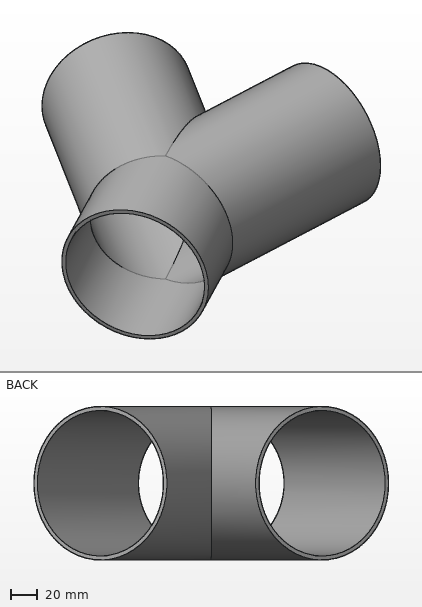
import cadquery as cq
import math

outer_diameter = 114.4
inner_diameter = 108.3
overall_width = 264.0
stem_length = 76.0
branch_angle = 30.0

branch_radians = math.radians(branch_angle)
outer_radius = outer_diameter / 2
branch_length = (overall_width / 2 - outer_radius * math.cos(branch_radians)) / math.sin(branch_radians)

reach = 2 * overall_width
miter_drop = reach * math.tan(branch_radians / 2)


def pipe_along_y(diameter, start, end):
    """Solid round bar on the Y axis from start to end."""
    bar = cq.Workplane("XZ").circle(diameter / 2).extrude(start - end)
    return bar.translate((0, start, 0))


def clipping_prism(points):
    """Prism with the given XY outline, centred on Z = 0."""
    return cq.Workplane("XY").polyline(points).close().extrude(reach / 2, both=True)


def make_stem(diameter):
    """Stem whose top is cut on the miter planes of both branches."""
    below_miters = clipping_prism(
        [(0, 0), (reach, -miter_drop), (0, -reach), (-reach, -miter_drop)]
    )
    return pipe_along_y(diameter, -stem_length, outer_diameter).intersect(below_miters)


def make_right_branch(diameter):
    """Branch cut on the stem miter and on the plane X = 0 between the branches."""
    branch = pipe_along_y(diameter, -outer_diameter, branch_length)
    branch = branch.rotate((0, 0, 0), (0, 0, 1), -branch_angle)
    right_wedge = clipping_prism([(0, 0), (reach, -miter_drop), (reach, reach), (0, reach)])
    return branch.intersect(right_wedge)


def make_wye(diameter):
    """Solid Y made from three mitered bars of one diameter."""
    right_branch = make_right_branch(diameter)
    left_branch = right_branch.mirror("YZ")
    return make_stem(diameter).union(right_branch).union(left_branch)


result = make_wye(outer_diameter).cut(make_wye(inner_diameter))